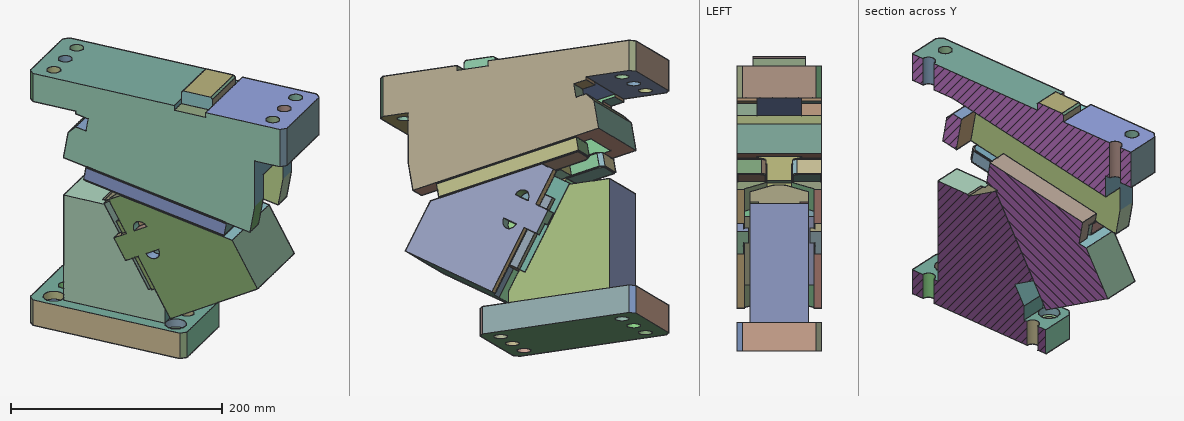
import cadquery as cq
import math

WIDTH = 80.0
HEIGHT = 279.0
HOLDER_LENGTH = 270.0
CORNER_CHAMFER = 5.0

HOLE_DIAMETER = 13.0
HOLE_INSET = 19.8
HOLE_PITCH = 24.8
COUNTERBORE_DIAMETER = 20.0
COUNTERBORE_DEPTH = 8.5

HOLDER_TOP = 270.0
LEFT_FLANGE_BOTTOM = 240.0
RIGHT_FLANGE_BOTTOM = 230.2
HOLDER_BACK_X = 238.5
SLIDE_ANGLE = 10.0
LIP_X = 37.0
LIP_Z = 187.2
HOLDER_UNDERSIDE_LENGTH = 199.5
LIP_HEIGHT = 28.5
LIP_CREST = 37.7
LIP_BEVEL = 6.7
LIP_THICKNESS = 17.5
NOTCH_CEILING = 51.3
NOTCH_STEP_X = 50.2
SLOT_HALF_WIDTH = 21.2
SLOT_CEILING = 54.0
SLOT_START = 3.5

KEY_START_X = 154.0
KEY_LENGTH = 33.0
KEY_WIDTH = 50.0
KEY_CHAMFER = 2.0
KEYWAY_DEPTH = 5.0

STRIP_START = 24.3
STRIP_LENGTH = 150.0
STRIP_TOP = -1.0
STRIP_BOTTOM = -14.8
STRIP_INNER_Y = 12.5
STRIP_LEAD_IN = 4.2
STRIP_CORE_INSET = 1.0

DRIVE_ANGLE = 60.0
SLIDER_X = 84.8
SLIDER_Z = 153.2
SLIDER_LENGTH = 130.0
SLIDER_BACK_LENGTH = 53.3
SLIDER_TOP = -16.0
NECK_START = 57.8
NECK_END = STRIP_START + STRIP_LENGTH
NECK_HALF_WIDTH = 11.5
NECK_SIDES = (-NECK_HALF_WIDTH, NECK_HALF_WIDTH)
HEAD_HALF_WIDTH = 20.0
HEAD_TOP = 10.0

HOOK_START = 37.0
HOOK_LENGTH = 24.8
HOOK_BOTTOM = -15.0
HOOK_INNER_Y = 34.0
LIP_INNER_Y = 29.0
HOOK_LIP_LENGTH = 12.8
HOOK_LIP_TOP = -9.2
RECESS_OFFSET = 17.3
RECESS_RADIUS = 7.5
RECESS_DEPTH = 11.2

BASE_LENGTH = 165.0
BASE_BACK_HOLE_X = 148.1
BASE_THICKNESS = 27.3
PEDESTAL_X = 31.5
PEDESTAL_LENGTH = 106.5
PEDESTAL_TOP = 140.0
PEDESTAL_HALF_WIDTH = 28.0

GUIDE_START = 5.0
GUIDE_END = 99.3
GUIDE_BOTTOM = -15.5
GUIDE_HALF_WIDTH = 27.5
GUIDE_KEY_HALF_WIDTH = 19.5
GUIDE_KEY_SIDES = (-GUIDE_KEY_HALF_WIDTH, GUIDE_KEY_HALF_WIDTH)
GUIDE_KEY_DEPTH = 5.0
GUIDE_KEY_OFFSETS = (GUIDE_BOTTOM - GUIDE_KEY_DEPTH, GUIDE_BOTTOM)
GUIDE_SLOT_START = -14.0
RAIL_START = 24.5
RAIL_BOTTOM = -9.0
RAIL_HALF_WIDTH = 33.0
VEE_EDGE = 1.0
VEE_ANGLE = 30.0
VEE_FLAT_HALF_WIDTH = 5.0


def direction(angle):
    """Unit vector pointing along +X, tilted down by angle."""
    return math.cos(math.radians(angle)), 0, -math.sin(math.radians(angle))


FRONT = cq.Plane(origin=(0, 0, 0), xDir=(1, 0, 0), normal=(0, -1, 0))
HOLDER_PLANE = cq.Plane(origin=(LIP_X, 0, LIP_Z), xDir=direction(SLIDE_ANGLE), normal=(0, -1, 0))
DRIVE_PLANE = cq.Plane(origin=(SLIDER_X, 0, SLIDER_Z), xDir=direction(DRIVE_ANGLE), normal=(0, -1, 0))
VEE_PLANE = cq.Plane(origin=(SLIDER_X, 0, SLIDER_Z), xDir=(0, 1, 0), normal=direction(DRIVE_ANGLE))


def to_xz(plane, along, off):
    """X and Z of a point given in a tilted plane."""
    point = plane.toWorldCoords((along, off))
    return point.x, point.z


def at_x(plane, x, off):
    """X and Z of the point at a given x on the line parallel to a plane's slope."""
    start = to_xz(plane, 0, off)
    slope = plane.xDir.z / plane.xDir.x
    return x, start[1] + (x - start[0]) * slope


def at_z(plane, z, off):
    """X and Z of the point at a given z on the line parallel to a plane's slope."""
    start = to_xz(plane, 0, off)
    slope = plane.xDir.z / plane.xDir.x
    return start[0] + (z - start[1]) / slope, z


def prism(plane, points, half_width):
    """Outline extruded to both sides of the middle plane."""
    return cq.Workplane(plane).polyline(points).close().extrude(half_width, both=True)


def block(plane, along, off, across):
    """Box in a tilted plane from (low, high) ranges down its slope, square to it and along Y."""
    return (
        cq.Workplane(plane)
        .workplane(offset=-across[1])
        .moveTo(along[0], off[0])
        .lineTo(along[1], off[0])
        .lineTo(along[1], off[1])
        .lineTo(along[0], off[1])
        .close()
        .extrude(across[1] - across[0])
    )


def mirrored(body):
    """A feature together with its mirror image across Y = 0."""
    return body.union(body.mirror("XZ"))


def mounting_plate(length, thickness):
    """Rectangular plate standing on Z = 0, with chamfered vertical corners."""
    return (
        cq.Workplane("XY")
        .box(length, WIDTH, thickness, centered=(False, True, False))
        .edges("|Z")
        .chamfer(CORNER_CHAMFER)
    )


def hole_centers(columns, rows):
    """Hole centers at the given x positions and at the given rows across the plate."""
    return [(x, row * HOLE_PITCH) for x in columns for row in rows]


def vee_top():
    """Upper outline of the V, from -Y to +Y."""
    rise = (RAIL_HALF_WIDTH - VEE_FLAT_HALF_WIDTH) * math.tan(math.radians(VEE_ANGLE))
    return [
        (-RAIL_HALF_WIDTH, VEE_EDGE),
        (-VEE_FLAT_HALF_WIDTH, VEE_EDGE + rise),
        (VEE_FLAT_HALF_WIDTH, VEE_EDGE + rise),
        (RAIL_HALF_WIDTH, VEE_EDGE),
    ]


def vee_bar(start, end, bottom):
    """Bar as wide as the rails with a V-shaped top, running down the drive slope."""
    outline = [(-RAIL_HALF_WIDTH, bottom), *vee_top(), (RAIL_HALF_WIDTH, bottom)]
    return cq.Workplane(VEE_PLANE).workplane(offset=start).polyline(outline).close().extrude(end - start)


def make_holder():
    outline = [
        (0, HOLDER_TOP),
        (0, LEFT_FLANGE_BOTTOM),
        (NOTCH_STEP_X, LEFT_FLANGE_BOTTOM),
        at_x(HOLDER_PLANE, NOTCH_STEP_X, NOTCH_CEILING),
        to_xz(HOLDER_PLANE, LIP_THICKNESS, NOTCH_CEILING),
        to_xz(HOLDER_PLANE, LIP_THICKNESS, LIP_CREST),
        to_xz(HOLDER_PLANE, LIP_BEVEL, LIP_CREST),
        to_xz(HOLDER_PLANE, 0, LIP_HEIGHT),
        (LIP_X, LIP_Z),
        to_xz(HOLDER_PLANE, HOLDER_UNDERSIDE_LENGTH, 0),
        at_back_edge(),
        (HOLDER_BACK_X, RIGHT_FLANGE_BOTTOM),
        (HOLDER_LENGTH, RIGHT_FLANGE_BOTTOM),
        (HOLDER_LENGTH, HOLDER_TOP),
    ]
    envelope = mounting_plate(HOLDER_LENGTH, HOLDER_TOP)
    holder = prism(FRONT, outline, WIDTH / 2).intersect(envelope)

    slot_sides = (-SLOT_HALF_WIDTH, SLOT_HALF_WIDTH)
    slot = block(HOLDER_PLANE, (LIP_THICKNESS, HOLDER_LENGTH), (0, SLOT_CEILING), slot_sides)
    slot_over_lip = block(HOLDER_PLANE, (SLOT_START, LIP_THICKNESS), (LIP_CREST, SLOT_CEILING), slot_sides)
    holder = holder.cut(slot).cut(slot_over_lip)

    holes = (
        cq.Workplane("XY")
        .pushPoints(hole_centers((HOLE_INSET, HOLDER_LENGTH - HOLE_INSET), (-1, 0, 1)))
        .circle(HOLE_DIAMETER / 2)
        .extrude(HOLDER_TOP)
    )
    return add_key(holder.cut(holes)).union(make_strips())


def at_back_edge():
    """Where the holder's tilted end meets its vertical back face."""
    x, z = to_xz(HOLDER_PLANE, HOLDER_UNDERSIDE_LENGTH, 0)
    return HOLDER_BACK_X, z + (HOLDER_BACK_X - x) / math.tan(math.radians(SLIDE_ANGLE))


def add_key(holder):
    """Cross keyway in the top of the holder, with the key standing in it."""
    keyway_floor = HOLDER_TOP - KEYWAY_DEPTH
    corner = (KEY_START_X, 0, keyway_floor)
    keyway = cq.Workplane("XY").box(KEY_LENGTH, WIDTH, KEYWAY_DEPTH, centered=(False, True, False))
    key = (
        cq.Workplane("XY")
        .box(KEY_LENGTH, KEY_WIDTH, HEIGHT - keyway_floor, centered=(False, True, False))
        .edges(">Z and |Y")
        .chamfer(KEY_CHAMFER)
    )
    return holder.cut(keyway.translate(corner)).union(key.translate(corner))


def strip_bar(inset, bottom, top):
    """Bar on the +Y side, smaller than the strip's outline by inset, with beveled inner ends."""
    along = (STRIP_START + inset, STRIP_START + STRIP_LENGTH - inset)
    bar = block(HOLDER_PLANE, along, (bottom, top), (STRIP_INNER_Y + inset, WIDTH / 2 - inset))
    upright_edges = bar.edges(cq.selectors.ParallelDirSelector(HOLDER_PLANE.yDir))
    return upright_edges.edges("<Y").chamfer(STRIP_LEAD_IN)


def make_strips():
    """Two guide strips, each with a slightly smaller core that joins it to the holder."""
    strip = strip_bar(0, STRIP_BOTTOM, STRIP_TOP)
    core = strip_bar(STRIP_CORE_INSET, SLIDER_TOP, 0)
    return mirrored(strip.union(core))


def slider_top_height(along):
    """Height of the slider's top over the drive slope, at a distance down that slope."""
    x, z = to_xz(DRIVE_PLANE, along, 0)
    below_holder = HOLDER_PLANE.toLocalCoords(cq.Vector(x, 0, z)).y
    return (SLIDER_TOP - below_holder) / math.cos(math.radians(DRIVE_ANGLE - SLIDE_ANGLE))


def make_slider():
    back = SLIDER_LENGTH - SLIDER_BACK_LENGTH
    depth = slider_top_height(back)
    outline = [
        (SLIDER_X, SLIDER_Z),
        to_xz(DRIVE_PLANE, 0, slider_top_height(0)),
        to_xz(DRIVE_PLANE, back, depth),
        to_xz(DRIVE_PLANE, SLIDER_LENGTH, depth),
        to_xz(DRIVE_PLANE, SLIDER_LENGTH, 0),
    ]
    slider = prism(FRONT, outline, WIDTH / 2)
    slider = slider.cut(vee_bar(0, SLIDER_LENGTH, GUIDE_BOTTOM))

    slider = slider.cut(block(DRIVE_PLANE, (0, GUIDE_START), (0, depth), NECK_SIDES))

    along = (NECK_START, NECK_END)
    neck = block(HOLDER_PLANE, along, (SLIDER_TOP, HEAD_TOP), NECK_SIDES)
    head = block(HOLDER_PLANE, along, (0, HEAD_TOP), (-HEAD_HALF_WIDTH, HEAD_HALF_WIDTH))
    slider = slider.union(neck).union(head)
    return slider.union(mirrored(make_hook())).cut(mirrored(make_recesses()))


def make_hook():
    """Hook on the +Y side: a wall beside the rail and a short lip under it."""
    end = HOOK_START + HOOK_LENGTH
    wall = block(DRIVE_PLANE, (HOOK_START, end), (HOOK_BOTTOM, 0), (HOOK_INNER_Y, WIDTH / 2))
    lip_end = HOOK_START + HOOK_LIP_LENGTH
    lip = block(DRIVE_PLANE, (HOOK_START, lip_end), (HOOK_BOTTOM, HOOK_LIP_TOP), (LIP_INNER_Y, WIDTH / 2))
    return wall.union(lip)


def make_recesses():
    """Two half-round recesses in the +Y side, in line with the ends of the hook."""
    end = HOOK_START + HOOK_LENGTH
    discs = (
        cq.Workplane(DRIVE_PLANE)
        .workplane(offset=-WIDTH / 2)
        .pushPoints([(HOOK_START, RECESS_OFFSET), (end, RECESS_OFFSET)])
        .circle(RECESS_RADIUS)
        .extrude(RECESS_DEPTH)
    )
    return discs.cut(block(DRIVE_PLANE, (HOOK_START, end), (0, 2 * RECESS_OFFSET), (0, WIDTH / 2)))


def make_base():
    pedestal_back = PEDESTAL_X + PEDESTAL_LENGTH
    pedestal_outline = [
        (PEDESTAL_X, 0),
        (PEDESTAL_X, PEDESTAL_TOP),
        at_z(DRIVE_PLANE, PEDESTAL_TOP, GUIDE_BOTTOM),
        to_xz(DRIVE_PLANE, GUIDE_END, GUIDE_BOTTOM),
        to_xz(DRIVE_PLANE, GUIDE_END, RAIL_BOTTOM),
        at_x(DRIVE_PLANE, pedestal_back, RAIL_BOTTOM),
        (pedestal_back, 0),
    ]
    pedestal = prism(FRONT, pedestal_outline, PEDESTAL_HALF_WIDTH)

    columns = (HOLE_INSET, BASE_BACK_HOLE_X)
    base = mounting_plate(BASE_LENGTH, BASE_THICKNESS)
    base = (
        base.faces(">Z")
        .workplane(origin=(0, 0, BASE_THICKNESS))
        .pushPoints(hole_centers(columns, (-1, 1)))
        .cboreHole(HOLE_DIAMETER, COUNTERBORE_DIAMETER, COUNTERBORE_DEPTH)
        .pushPoints(hole_centers(columns, (0,)))
        .hole(HOLE_DIAMETER)
    )
    key_slot = block(DRIVE_PLANE, (GUIDE_SLOT_START, GUIDE_START), GUIDE_KEY_OFFSETS, GUIDE_KEY_SIDES)
    return base.union(pedestal.cut(key_slot)).union(make_guide())


def make_guide():
    """V-shaped guide with a rail along each side and a key let into the pedestal."""
    guide_length = (GUIDE_START, GUIDE_END)
    body_sides = (-GUIDE_HALF_WIDTH, GUIDE_HALF_WIDTH)
    body = vee_bar(GUIDE_START, GUIDE_END, GUIDE_BOTTOM).intersect(
        block(DRIVE_PLANE, guide_length, (GUIDE_BOTTOM, SLIDER_LENGTH), body_sides)
    )
    rails = vee_bar(RAIL_START, GUIDE_END, RAIL_BOTTOM)
    key = block(DRIVE_PLANE, guide_length, GUIDE_KEY_OFFSETS, GUIDE_KEY_SIDES)
    return body.union(rails).union(key)


holder = make_holder()
slider = make_slider()
base = make_base()
result = cq.Compound.makeCompound([holder.val(), slider.val(), base.val()])